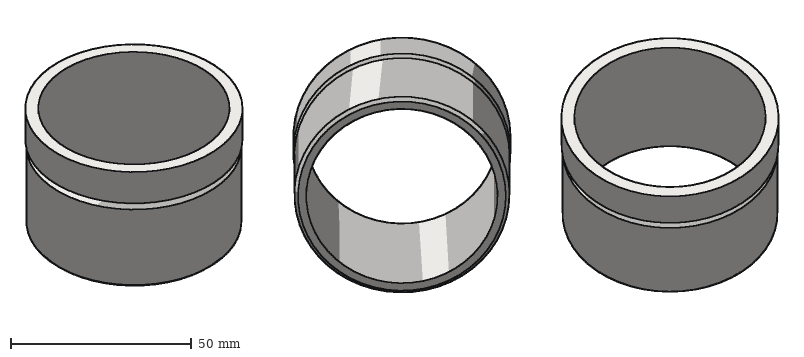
import cadquery as cq

collar_diameter = 60.3
body_diameter = 59.7
bore_diameter = 53.05
height = 40.0

collar_height = 10.75
body_top = 26.9

groove_root_diameter = 56.2
groove_root_depth = 0.2
groove_root_bottom = 27.75
groove_root_top = 28.3

bottom_chamfer = 1.0

collar_radius = collar_diameter / 2
body_radius = body_diameter / 2
bore_radius = bore_diameter / 2
groove_root_radius = groove_root_diameter / 2
groove_flank_radius = groove_root_radius + groove_root_depth
groove_middle = (groove_root_bottom + groove_root_top) / 2
collar_bottom = height - collar_height

wall_section = (
    cq.Workplane("XZ")
    .moveTo(bore_radius, 0)
    .lineTo(body_radius - bottom_chamfer, 0)
    .lineTo(body_radius, bottom_chamfer)
    .lineTo(body_radius, body_top)
    .lineTo(groove_flank_radius, groove_root_bottom)
    .threePointArc((groove_root_radius, groove_middle), (groove_flank_radius, groove_root_top))
    .lineTo(collar_radius, collar_bottom)
    .lineTo(collar_radius, height)
    .lineTo(bore_radius, height)
    .close()
)

result = wall_section.revolve(360, (0, 0, 0), (0, 1, 0))